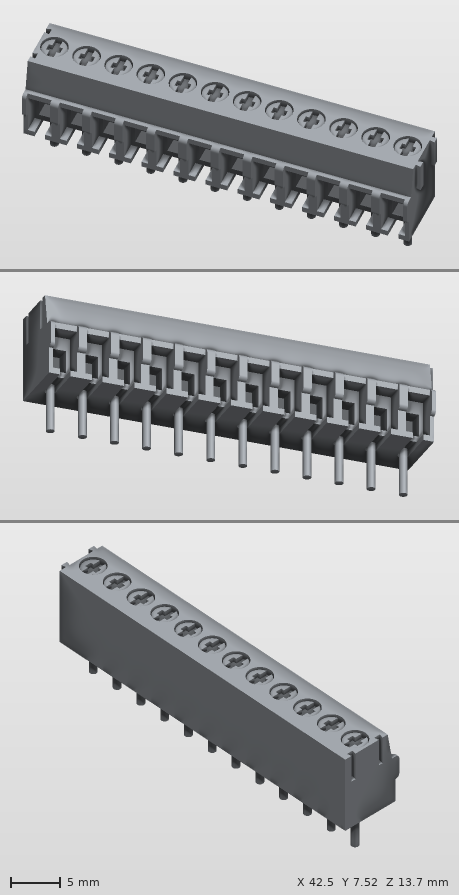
import cadquery as cq


terminal_count = 12
overall_length = 42.55
key_reach = 0.55
body_length = overall_length - key_reach
pitch = body_length / terminal_count
body_height = 9.25
top_depth = 5.9
shoulder_depth = 6.5
body_depth = 7.02
ridge_radius = 0.5
front_depth = body_depth + ridge_radius
shoulder_z = 5.8
ridge_bottom_z = 2.85

bay_width = 2.6
bay_depth = 1.87
floor_thickness = 0.65
bay_lintel = 0.65
bay_top_z = shoulder_z - bay_lintel
entry_width = 1.7
entry_bottom_z = 1.28
entry_top_z = 3.75
entry_depth = 1.7
notch_width = 1.15

row_depth = 3.02
pin_diameter = 0.9
pin_length = 4.45
screw_hole_diameter = 2.9
screw_hole_depth = 0.85
screw_diameter = 2.7
screw_recess = 0.25
drive_slot_width = 0.75
drive_cross_length = 1.55
drive_depth = 0.65

dovetail_height = 3.3
dovetail_neck = 0.5
dovetail_head = 0.75
dovetail_depths = (1.15, 4.95)

terminal_xs = [pitch * (index + 0.5) for index in range(terminal_count)]


def box(x_center, width, y_front, y_back, z_bottom, z_top):
    """Box centred on x_center, given by its front/back and bottom/top planes."""
    size = (width, y_back - y_front, z_top - z_bottom)
    return cq.Workplane("XY").box(*size, centered=(True, False, False)).translate(
        (x_center, y_front, z_bottom)
    )


def cylinder(x, diameter, z_bottom, z_top):
    """Vertical cylinder standing on the pin and screw row."""
    return (
        cq.Workplane("XY", origin=(x, -row_depth, z_bottom))
        .circle(diameter / 2)
        .extrude(z_top - z_bottom)
    )


def housing():
    """Constant section with a sloped upper front and a rounded ridge below it."""
    return (
        cq.Workplane("YZ")
        .moveTo(0, 0)
        .lineTo(-body_depth, 0)
        .lineTo(-body_depth, ridge_bottom_z)
        .radiusArc((-front_depth, ridge_bottom_z + ridge_radius), ridge_radius)
        .lineTo(-front_depth, shoulder_z - ridge_radius)
        .radiusArc((-body_depth, shoulder_z), ridge_radius)
        .lineTo(-shoulder_depth, shoulder_z)
        .lineTo(-top_depth, body_height)
        .lineTo(0, body_height)
        .close()
        .extrude(body_length)
    )


def wire_bay(x):
    """Space removed for one wire: bay, clamp entry and notch through the floor."""
    bay_back = -body_depth + bay_depth
    bay = box(x, bay_width, -body_depth, bay_back, floor_thickness, bay_top_z)
    ridge_gap = box(x, bay_width, -front_depth, -body_depth, floor_thickness, shoulder_z)
    entry = box(x, entry_width, bay_back, bay_back + entry_depth, entry_bottom_z, entry_top_z)
    notch = box(x, notch_width, -body_depth, -row_depth, 0, floor_thickness)
    notch_end = cylinder(x, notch_width, 0, floor_thickness)
    return bay.union(ridge_gap).union(entry).union(notch).union(notch_end)


def screw(x):
    """Recessed screw head with a full-width slot and a short cross slot."""
    head_top = body_height - screw_recess
    slot_bottom = head_top - drive_depth
    head = cylinder(x, screw_diameter, body_height - screw_hole_depth, head_top)
    slot_half = screw_diameter / 2
    cross_half = drive_slot_width / 2
    slot = box(x, drive_slot_width, -row_depth - slot_half, -row_depth + slot_half, slot_bottom, head_top)
    cross = box(
        x, drive_cross_length, -row_depth - cross_half, -row_depth + cross_half, slot_bottom, head_top
    )
    return head.cut(slot).cut(cross)


def dovetail(x, depth):
    """Upright dovetail, narrow at x and widening toward +X."""
    return (
        cq.Workplane("XY", origin=(x, -depth, body_height - dovetail_height))
        .polyline(
            [
                (0, -dovetail_neck / 2),
                (key_reach, -dovetail_head / 2),
                (key_reach, dovetail_head / 2),
                (0, dovetail_neck / 2),
            ]
        )
        .close()
        .extrude(dovetail_height)
    )


result = housing()
for terminal_x in terminal_xs:
    screw_hole = cylinder(terminal_x, screw_hole_diameter, body_height - screw_hole_depth, body_height)
    pin = cylinder(terminal_x, pin_diameter, -pin_length, floor_thickness)
    result = result.cut(wire_bay(terminal_x)).cut(screw_hole)
    result = result.union(screw(terminal_x)).union(pin)

for dovetail_depth in dovetail_depths:
    result = result.cut(dovetail(0, dovetail_depth))
    result = result.union(dovetail(body_length, dovetail_depth))